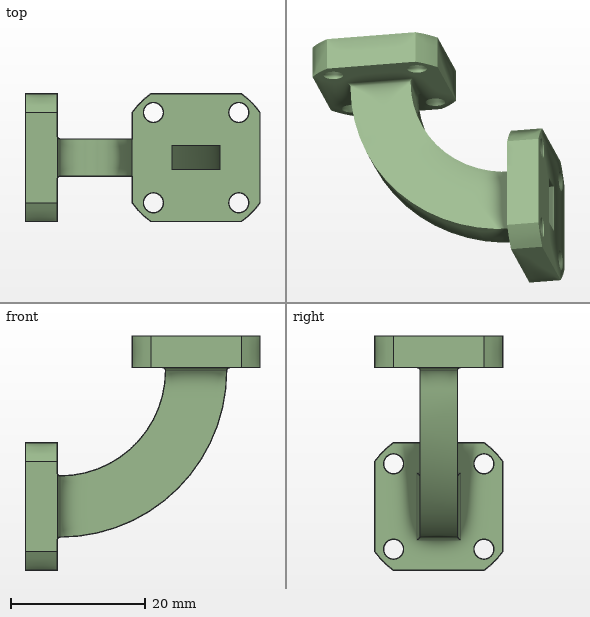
import cadquery as cq

overall_length = 34.92

flange_width = 19.05
flange_height = 19.03
flange_thickness = 4.75
flange_corner_diameter = 23.33
hole_diameter = 2.95
hole_spacing_in_plane = 12.7
hole_spacing_across = 13.45

tube_height = 9.15
tube_width = 5.6
bore_height = 7.12
bore_width = 3.55

fillet_radius = 0.42

flange_center = flange_height / 2
bend_start = flange_thickness + fillet_radius
bend_radius = overall_length - flange_center - bend_start

left_plane = cq.Plane(origin=(0, 0, flange_center), xDir=(0, 0, 1), normal=(1, 0, 0))
top_plane = cq.Plane(
    origin=(overall_length - flange_center, 0, overall_length), xDir=(1, 0, 0), normal=(0, 0, -1)
)


def section_prism(plane, height, width, depth):
    """Rectangular prism on a flange's axis, starting at its outer face."""
    return cq.Workplane(plane).rect(height, width).extrude(depth)


def make_bend(height, width):
    """Rectangular section turned through 90 degrees about an axis parallel to Y."""
    return (
        cq.Workplane(left_plane)
        .workplane(offset=bend_start)
        .rect(height, width)
        .revolve(90, (bend_radius, 0), (bend_radius, 1))
    )


def make_end(plane):
    """Flange with its bolt holes, plus the short straight tube filleted into its inner face."""
    plate = section_prism(plane, flange_height, flange_width, flange_thickness)
    corner_disc = cq.Workplane(plane).circle(flange_corner_diameter / 2).extrude(flange_thickness)
    flange = plate.intersect(corner_disc)

    stub = section_prism(plane, tube_height, tube_width, bend_start + fillet_radius)
    junction = cq.selectors.BoxSelector(
        plane.toWorldCoords((-tube_height, -tube_width, flange_thickness / 2)).toTuple(),
        plane.toWorldCoords((tube_height, tube_width, bend_start)).toTuple(),
    )
    filleted = (
        flange.union(stub)
        .edges(junction)
        .edges(cq.selectors.PerpendicularDirSelector(plane.zDir))
        .fillet(fillet_radius)
    )
    trim = section_prism(plane, flange_height, flange_width, bend_start)
    holes = (
        cq.Workplane(plane)
        .rect(hole_spacing_in_plane, hole_spacing_across, forConstruction=True)
        .vertices()
        .circle(hole_diameter / 2)
        .extrude(flange_thickness)
    )
    return filleted.intersect(trim).cut(holes)


result = make_bend(tube_height, tube_width)
for end_plane in (left_plane, top_plane):
    result = result.union(make_end(end_plane))

result = result.cut(make_bend(bore_height, bore_width))
for end_plane in (left_plane, top_plane):
    result = result.cut(section_prism(end_plane, bore_height, bore_width, bend_start))